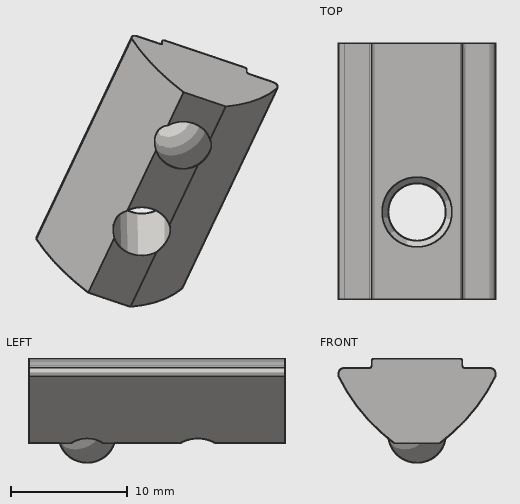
import cadquery as cq

length = 22.0
width = 13.5
body_height = 7.25

guide_width = 7.8
guide_height = 0.8
guide_edge_radius = 0.2
guide_root_radius = 0.2

shoulder_radius = 0.5
side_land_height = 0.2
flank_radius = 15.5
bottom_width = 3.9

hole_y = -3.5
hole_diameter = 4.9
countersink_diameter = 6.0
countersink_angle = 90.0

ball_y = 6.0
ball_radius = 2.5
ball_bottom_z = -8.95


def make_body():
    """Extrude the symmetric nut section and round its long edges."""
    half_guide = guide_width / 2
    half_width = width / 2
    half_bottom = bottom_width / 2
    flank_top_z = -(guide_height + shoulder_radius + side_land_height)

    body = (
        cq.Workplane("XZ")
        .moveTo(-half_guide, 0)
        .lineTo(half_guide, 0)
        .lineTo(half_guide, -guide_height)
        .lineTo(half_width, -guide_height)
        .lineTo(half_width, flank_top_z)
        .radiusArc((half_bottom, -body_height), flank_radius)
        .lineTo(-half_bottom, -body_height)
        .radiusArc((-half_width, flank_top_z), flank_radius)
        .lineTo(-half_width, -guide_height)
        .lineTo(-half_guide, -guide_height)
        .close()
        .extrude(length / 2, both=True)
    )
    body = round_long_edges(body, half_guide, 0, guide_edge_radius)
    body = round_long_edges(body, half_guide, -guide_height, guide_root_radius)
    return round_long_edges(body, half_width, -guide_height, shoulder_radius)


def round_long_edges(body, x, z, radius):
    """Fillet the mirrored pair of full-length edges at +x and -x."""
    for side in (-1, 1):
        body = body.edges(cq.NearestToPointSelector((side * x, 0, z))).fillet(radius)
    return body


def cut_threaded_hole(body):
    """Drill through from the top face with a conical lead-in."""
    return (
        body.faces(">Z")
        .workplane(origin=(0, hole_y, 0))
        .cskHole(hole_diameter, countersink_diameter, countersink_angle)
    )


def add_ball(body):
    """Join the ball that projects below the bottom face."""
    ball_center = (0, ball_y, ball_bottom_z + ball_radius)
    return body.union(cq.Workplane("XY").sphere(ball_radius).translate(ball_center))


result = add_ball(cut_threaded_hole(make_body()))